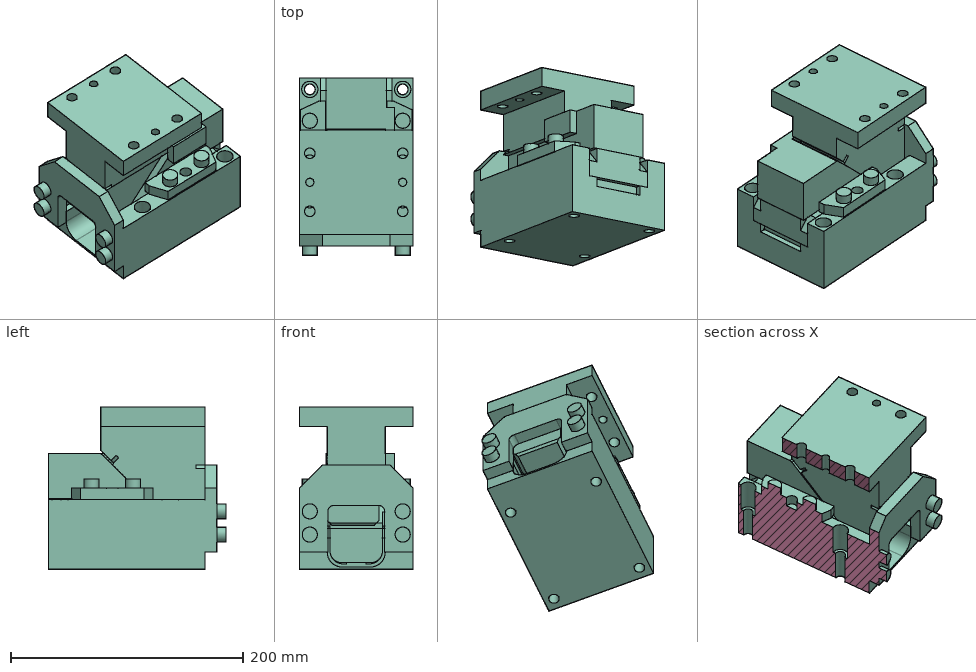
import cadquery as cq

WIDTH = 98.0
HALF_WIDTH = WIDTH / 2
BASE_LENGTH = 135.0
BASE_HEIGHT = 60.0

SCREW_X = 40.0
SCREW_HEAD_DIAMETER = 13.0
SCREW_HEAD_HEIGHT = 8.0

GUIDE_HALF_WIDTH = 30.6
TROUGH_HALF_WIDTH = 25.0
TROUGH_FLOOR = 2.0
TROUGH_RADIUS = 13.0
LEDGE_Z = 27.0
PAD_TOP = 35.3
PAD_FRONT = 40.0
REAR_WALL = 5.0

MOUNT_HOLE_Y = (30.0, 125.0)
MOUNT_HOLE_DIAMETER = 9.0
MOUNT_BORE_DIAMETER = 14.0
MOUNT_BORE_DEPTH = 30.0

PLATE_THICKNESS = 10.0
PLATE_BOTTOM = 15.0
PLATE_TOP = 90.0
PLATE_CHAMFER = 20.0
WINDOW_HALF_WIDTH = 24.5
WINDOW_TOP = 55.0
WINDOW_RADIUS = 5.0
PLATE_SCREW_Z = (30.0, 50.0)

RETAINER_INNER_X = 26.6
RETAINER_OUTER_X = 48.0
RETAINER_SHOULDER_X = 32.0
RETAINER_HEIGHT = 10.0
RETAINER_LENGTH = 70.0
RETAINER_CENTRE_Y = 80.0
RETAINER_TAPER = 7.5
RETAINER_SCREW_SPACING = 36.0
RETAINER_HOLE_DIAMETER = 10.0

SLOPE_OFFSET = 10.2

SLIDE_TOP = 100.0
SLIDE_HALF_WIDTH = 26.0
SLIDE_OVERHANG = 0.01
SLIDE_EDGE_BREAK = 1.0
HEAD_BOTTOM = 61.2
SLIDE_NOSE_Z = 40.0
FLANGE_FRONT = 39.3
FLANGE_CHAMFER = 2.0
FLANGE_END_RAMP = 11.0
KEEL_HALF_WIDTH = 22.6
KEEL_BOTTOM = 5.8
KEEL_RADIUS = 10.0
FOOT_BOTTOM = 4.7
FOOT_RADIUS = 11.5
FOOT_SETBACK = 5.0
FOOT_GROOVE_WIDTH = 17.0

KEEPER_OUTER_X = 33.0
KEEPER_FRONT = 72.0
KEEPER_BACK = 109.5
KEEPER_BOTTOM = 80.0

DRIVER_TOP = 140.0
DRIVER_LENGTH = 90.0
DRIVER_PLATE_THICKNESS = 17.0
STEM_HALF_WIDTH = 25.0
DRIVER_BOTTOM = 38.0
DRIVER_FRONT_CHAMFER = 2.0
DRIVER_SIDE_CHAMFER = 4.0
CLEARANCE_RISE = 2.4
CLEARANCE_START_Y = 80.0
RELIEF_INNER_X = 19.5
RELIEF_TOP = 87.0
NOTCH_DEPTH = 3.0
NOTCH_LENGTH = 8.0
OIL_SLOT_START_Y = 80.2
OIL_SLOT_WIDTH = 3.0
OIL_SLOT_LENGTH = 8.0
OIL_SLOT_DEPTH = 3.0
DRIVER_HOLE_X = 40.0
DRIVER_SCREW_Y = (20.0, 70.0)
DRIVER_SCREW_DIAMETER = 9.0
DRIVER_DOWEL_Y = 45.0
DRIVER_DOWEL_DIAMETER = 7.0


def block(x_range, y_range, z_range):
    """Axis-aligned box between the given limits."""
    (x0, x1), (y0, y1), (z0, z1) = x_range, y_range, z_range
    return cq.Workplane("XY").box(x1 - x0, y1 - y0, z1 - z0, centered=False).translate((x0, y0, z0))


def side_prism(points, x_min, x_max):
    """Extrude a (y, z) outline from x_min to x_max."""
    return cq.Workplane("YZ", origin=(x_min, 0, 0)).polyline(points).close().extrude(x_max - x_min)


def mirrored_pair(body):
    """A body together with its mirror image across the YZ plane."""
    return body.union(body.mirror("YZ"))


def upright_cylinder(x, y, z, diameter, height):
    return cq.Workplane("XY", origin=(x, y, z)).circle(diameter / 2).extrude(height)


def rounded_trough(half_width, floor, top, radius, y_range):
    """Bar along Y with its two lower edges rounded."""
    bar = block((-half_width, half_width), y_range, (floor, top))
    return bar.edges("|Y and <Z").fillet(radius)


def make_housing():
    back = BASE_LENGTH
    housing = block((-HALF_WIDTH, HALF_WIDTH), (0, back), (0, BASE_HEIGHT))
    housing = housing.cut(rounded_trough(
        TROUGH_HALF_WIDTH, TROUGH_FLOOR, LEDGE_Z, TROUGH_RADIUS, (0, back - REAR_WALL)))
    guide_x = (-GUIDE_HALF_WIDTH, GUIDE_HALF_WIDTH)
    housing = housing.cut(block(guide_x, (0, back), (LEDGE_Z, BASE_HEIGHT)))
    pad = block((KEEL_HALF_WIDTH, GUIDE_HALF_WIDTH), (PAD_FRONT, back), (LEDGE_Z, PAD_TOP))
    housing = housing.union(mirrored_pair(pad))
    for x in (-SCREW_X, SCREW_X):
        for y in MOUNT_HOLE_Y:
            bore_floor = BASE_HEIGHT - MOUNT_BORE_DEPTH
            housing = housing.cut(upright_cylinder(x, y, 0, MOUNT_HOLE_DIAMETER, BASE_HEIGHT))
            housing = housing.cut(upright_cylinder(x, y, bore_floor, MOUNT_BORE_DIAMETER, MOUNT_BORE_DEPTH))
    return housing


def make_end_plate():
    shoulder_x = HALF_WIDTH - PLATE_CHAMFER
    shoulder_z = PLATE_TOP - PLATE_CHAMFER
    points = [
        (-HALF_WIDTH, PLATE_BOTTOM), (HALF_WIDTH, PLATE_BOTTOM), (HALF_WIDTH, shoulder_z),
        (shoulder_x, PLATE_TOP), (-shoulder_x, PLATE_TOP), (-HALF_WIDTH, shoulder_z),
    ]
    plate = cq.Workplane("XZ").polyline(points).close().extrude(PLATE_THICKNESS)
    window = block((-WINDOW_HALF_WIDTH, WINDOW_HALF_WIDTH), (-PLATE_THICKNESS, 0), (PLATE_BOTTOM, WINDOW_TOP))
    plate = plate.cut(window.edges("|Y and >Z").fillet(WINDOW_RADIUS))
    head_points = [(x, z) for x in (-SCREW_X, SCREW_X) for z in PLATE_SCREW_Z]
    heads = (
        cq.Workplane("XZ", origin=(0, -PLATE_THICKNESS, 0))
        .pushPoints(head_points)
        .circle(SCREW_HEAD_DIAMETER / 2)
        .extrude(SCREW_HEAD_HEIGHT)
    )
    return plate.union(heads)


def make_retainer():
    front = RETAINER_CENTRE_Y - RETAINER_LENGTH / 2
    back = RETAINER_CENTRE_Y + RETAINER_LENGTH / 2
    points = [
        (RETAINER_INNER_X, front), (RETAINER_SHOULDER_X, front),
        (RETAINER_OUTER_X, front + RETAINER_TAPER), (RETAINER_OUTER_X, back - RETAINER_TAPER),
        (RETAINER_SHOULDER_X, back), (RETAINER_INNER_X, back),
    ]
    base_top = cq.Workplane("XY", origin=(0, 0, BASE_HEIGHT))
    retainer = base_top.polyline(points).close().extrude(RETAINER_HEIGHT)
    retainer = retainer.cut(upright_cylinder(
        SCREW_X, RETAINER_CENTRE_Y, BASE_HEIGHT, RETAINER_HOLE_DIAMETER, RETAINER_HEIGHT))
    for side in (-1, 1):
        screw_y = RETAINER_CENTRE_Y + side * RETAINER_SCREW_SPACING / 2
        retainer = retainer.union(upright_cylinder(
            SCREW_X, screw_y, BASE_HEIGHT + RETAINER_HEIGHT, SCREW_HEAD_DIAMETER, SCREW_HEAD_HEIGHT))
    return retainer


def make_base():
    return make_housing().union(make_end_plate()).union(mirrored_pair(make_retainer()))


def make_keeper():
    return block((STEM_HALF_WIDTH, KEEPER_OUTER_X), (KEEPER_FRONT, KEEPER_BACK), (KEEPER_BOTTOM, SLIDE_TOP))


def make_keel():
    """Rounded bar under the body; behind its front it is a little deeper, with a central groove."""
    back = BASE_LENGTH - REAR_WALL
    keel = rounded_trough(KEEL_HALF_WIDTH, KEEL_BOTTOM, PAD_TOP, KEEL_RADIUS, (PAD_FRONT, back))
    foot_y = (PAD_FRONT + FOOT_SETBACK, back)
    foot = rounded_trough(KEEL_HALF_WIDTH, FOOT_BOTTOM, PAD_TOP, FOOT_RADIUS, foot_y)
    groove_x = (-FOOT_GROOVE_WIDTH / 2, FOOT_GROOVE_WIDTH / 2)
    foot = foot.cut(block(groove_x, foot_y, (FOOT_BOTTOM, KEEL_BOTTOM)))
    return keel.union(foot)


def make_slide():
    back = BASE_LENGTH + SLIDE_OVERHANG
    nose_y = SLIDE_NOSE_Z - SLOPE_OFFSET
    crest_y = SLIDE_TOP - SLOPE_OFFSET

    head = side_prism([
        (HEAD_BOTTOM - SLOPE_OFFSET, HEAD_BOTTOM), (back, HEAD_BOTTOM), (back, SLIDE_TOP),
        (crest_y + SLIDE_EDGE_BREAK, SLIDE_TOP),
        (crest_y - SLIDE_EDGE_BREAK, SLIDE_TOP - SLIDE_EDGE_BREAK),
    ], -SLIDE_HALF_WIDTH, SLIDE_HALF_WIDTH)

    body = side_prism([
        (nose_y, PAD_TOP), (BASE_LENGTH, PAD_TOP), (BASE_LENGTH, HEAD_BOTTOM),
        (HEAD_BOTTOM - SLOPE_OFFSET, HEAD_BOTTOM), (nose_y, SLIDE_NOSE_Z),
    ], -KEEL_HALF_WIDTH, KEEL_HALF_WIDTH)

    flange = side_prism([
        (FLANGE_FRONT + FLANGE_CHAMFER, PAD_TOP), (BASE_LENGTH, PAD_TOP),
        (BASE_LENGTH, BASE_HEIGHT - FLANGE_END_RAMP), (BASE_LENGTH - FLANGE_END_RAMP, BASE_HEIGHT),
        (BASE_HEIGHT - SLOPE_OFFSET, BASE_HEIGHT), (FLANGE_FRONT, FLANGE_FRONT + SLOPE_OFFSET),
        (FLANGE_FRONT, PAD_TOP + FLANGE_CHAMFER),
    ], KEEL_HALF_WIDTH, GUIDE_HALF_WIDTH)

    slide = head.union(body).union(mirrored_pair(flange)).union(make_keel())
    return slide.union(make_keeper())


def make_oil_slot():
    """Slot in the -X flank, square to the sliding plane, with a floor that rises to nothing."""
    start = cq.Plane(
        origin=(-STEM_HALF_WIDTH, OIL_SLOT_START_Y, OIL_SLOT_START_Y + SLOPE_OFFSET),
        xDir=(1, 0, 0),
        normal=(0, -1, 1),
    )
    points = [(0, 0), (OIL_SLOT_DEPTH, 0), (0, OIL_SLOT_WIDTH)]
    return cq.Workplane(start).polyline(points).close().extrude(OIL_SLOT_LENGTH)


def make_flank_notch():
    """Small notch with a 45 degree floor at the front of the +X flank."""
    points = [
        (STEM_HALF_WIDTH, PLATE_TOP - NOTCH_DEPTH), (STEM_HALF_WIDTH, PLATE_TOP),
        (STEM_HALF_WIDTH - NOTCH_DEPTH, PLATE_TOP),
    ]
    return cq.Workplane("XZ").polyline(points).close().extrude(-NOTCH_LENGTH)


def make_stem():
    plate_bottom = DRIVER_TOP - DRIVER_PLATE_THICKNESS
    clearance_y = CLEARANCE_START_Y - CLEARANCE_RISE / 2
    stem = side_prism([
        (0, DRIVER_BOTTOM), (DRIVER_BOTTOM - SLOPE_OFFSET, DRIVER_BOTTOM),
        (CLEARANCE_START_Y, CLEARANCE_START_Y + SLOPE_OFFSET),
        (clearance_y, clearance_y + SLOPE_OFFSET + CLEARANCE_RISE),
        (DRIVER_LENGTH, DRIVER_LENGTH + SLOPE_OFFSET + CLEARANCE_RISE),
        (DRIVER_LENGTH, plate_bottom), (0, plate_bottom),
    ], -STEM_HALF_WIDTH, STEM_HALF_WIDTH)
    relief_x = (RELIEF_INNER_X, STEM_HALF_WIDTH)
    stem = stem.cut(block(relief_x, (0, DRIVER_LENGTH), (DRIVER_BOTTOM, RELIEF_TOP)))
    stem = stem.faces("<Z").edges("<X or >X").chamfer(DRIVER_SIDE_CHAMFER)
    return stem.faces("<Z").edges("<Y").chamfer(DRIVER_FRONT_CHAMFER)


def make_driver():
    plate_bottom = DRIVER_TOP - DRIVER_PLATE_THICKNESS
    plate = block((-HALF_WIDTH, HALF_WIDTH), (0, DRIVER_LENGTH), (plate_bottom, DRIVER_TOP))
    for x in (-DRIVER_HOLE_X, DRIVER_HOLE_X):
        for y in DRIVER_SCREW_Y:
            plate = plate.cut(upright_cylinder(
                x, y, plate_bottom, DRIVER_SCREW_DIAMETER, DRIVER_PLATE_THICKNESS))
        plate = plate.cut(upright_cylinder(
            x, DRIVER_DOWEL_Y, plate_bottom, DRIVER_DOWEL_DIAMETER, DRIVER_PLATE_THICKNESS))
    stem = make_stem().cut(make_oil_slot()).cut(mirrored_pair(make_flank_notch()))
    return plate.union(stem)


base = make_base()
slide = make_slide()
driver = make_driver()

bodies = (base, slide, driver)
result = cq.Compound.makeCompound([body.solids().val() for body in bodies])